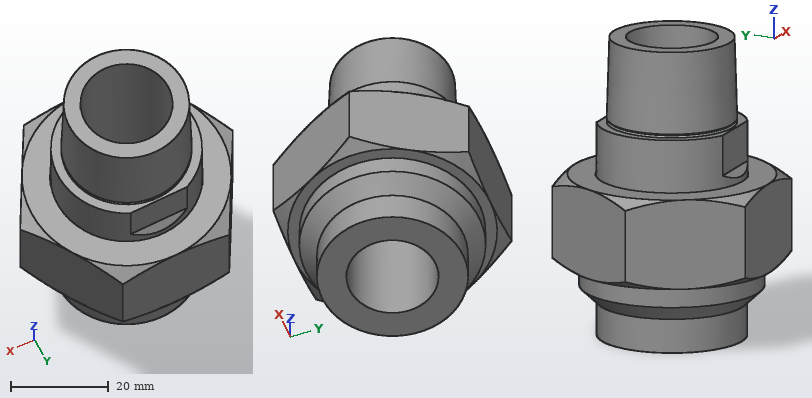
import cadquery as cq
import math

TOTAL_HEIGHT = 63.0
BORE_RADIUS = 9.45

SPIGOT_RADIUS = 15.5
SPIGOT_TOP = 7.2
SHOULDER_RADIUS = 19.1
SHOULDER_BOTTOM = 10.6
SEAT_HEIGHT = 25.2

NUT_BOTTOM = 15.05
NUT_HEIGHT = 18.9
NUT_TOP = NUT_BOTTOM + NUT_HEIGHT
ACROSS_FLATS = 42.9
ACROSS_CORNERS = ACROSS_FLATS / math.cos(math.pi / 6)
CHAMFER_ANGLE = math.radians(30)
COLLAR_CLEARANCE = 0.2
LIP_THICKNESS = 5.05

COLLAR_RADIUS = SPIGOT_RADIUS
COLLAR_TOP = 45.05
FLANGE_RADIUS = SHOULDER_RADIUS
FLANGE_TOP = NUT_TOP - LIP_THICKNESS
RELIEF_RADIUS = 13.0
THREAD_BOTTOM = 45.8
THREAD_BOTTOM_RADIUS = 13.4
THREAD_TAPER = 1 / 32
THREAD_TOP_RADIUS = THREAD_BOTTOM_RADIUS - THREAD_TAPER * (TOTAL_HEIGHT - THREAD_BOTTOM)
RELIEF_HEIGHT = (COLLAR_TOP + THREAD_BOTTOM) / 2
FLATS_WIDTH = 28.05
FLATS_BOTTOM = 36.55


def revolve_profile(points):
    """Turn a closed (radius, height) outline about the Z axis."""
    return cq.Workplane("XZ").polyline(points).close().revolve(360, (0, 0, 0), (0, 1, 0))


def make_lower_body():
    return revolve_profile([
        (BORE_RADIUS, 0),
        (SPIGOT_RADIUS, 0),
        (SPIGOT_RADIUS, SPIGOT_TOP),
        (SHOULDER_RADIUS, SHOULDER_BOTTOM),
        (SHOULDER_RADIUS, SEAT_HEIGHT),
        (BORE_RADIUS, SEAT_HEIGHT),
    ])


def make_nut():
    hexagon = (
        cq.Workplane("XY").workplane(offset=NUT_BOTTOM)
        .polygon(6, ACROSS_CORNERS).extrude(NUT_HEIGHT)
    )
    face_radius = ACROSS_FLATS / 2
    corner_radius = ACROSS_CORNERS / 2
    chamfer_height = (corner_radius - face_radius) * math.tan(CHAMFER_ANGLE)
    lip_radius = COLLAR_RADIUS + COLLAR_CLEARANCE
    envelope = revolve_profile([
        (SHOULDER_RADIUS, NUT_BOTTOM),
        (face_radius, NUT_BOTTOM),
        (corner_radius, NUT_BOTTOM + chamfer_height),
        (corner_radius, NUT_TOP - chamfer_height),
        (face_radius, NUT_TOP),
        (lip_radius, NUT_TOP),
        (lip_radius, FLANGE_TOP),
        (SHOULDER_RADIUS, FLANGE_TOP),
    ])
    return hexagon.intersect(envelope)


def make_flat_cutter():
    """Cutter for the +Y wrench flat, running out through a 45 degree slope at its foot."""
    flat_y = FLATS_WIDTH / 2
    cut_depth = COLLAR_RADIUS - flat_y
    return (
        cq.Workplane("YZ")
        .polyline([
            (flat_y, COLLAR_TOP),
            (flat_y, FLATS_BOTTOM),
            (COLLAR_RADIUS, FLATS_BOTTOM - cut_depth),
            (COLLAR_RADIUS, COLLAR_TOP),
        ])
        .close()
        .extrude(COLLAR_RADIUS, both=True)
    )


def make_tail_piece():
    tail = revolve_profile([
        (BORE_RADIUS, SEAT_HEIGHT),
        (FLANGE_RADIUS, SEAT_HEIGHT),
        (FLANGE_RADIUS, FLANGE_TOP),
        (COLLAR_RADIUS, FLANGE_TOP),
        (COLLAR_RADIUS, COLLAR_TOP),
        (THREAD_BOTTOM_RADIUS, COLLAR_TOP),
        (RELIEF_RADIUS, RELIEF_HEIGHT),
        (THREAD_BOTTOM_RADIUS, THREAD_BOTTOM),
        (THREAD_TOP_RADIUS, TOTAL_HEIGHT),
        (BORE_RADIUS, TOTAL_HEIGHT),
    ])
    flat_cutter = make_flat_cutter()
    return tail.cut(flat_cutter).cut(flat_cutter.mirror("XZ"))


lower_body = make_lower_body()
nut = make_nut()
tail_piece = make_tail_piece()

result = cq.Compound.makeCompound([
    lower_body.solids().val(),
    nut.solids().val(),
    tail_piece.solids().val(),
])